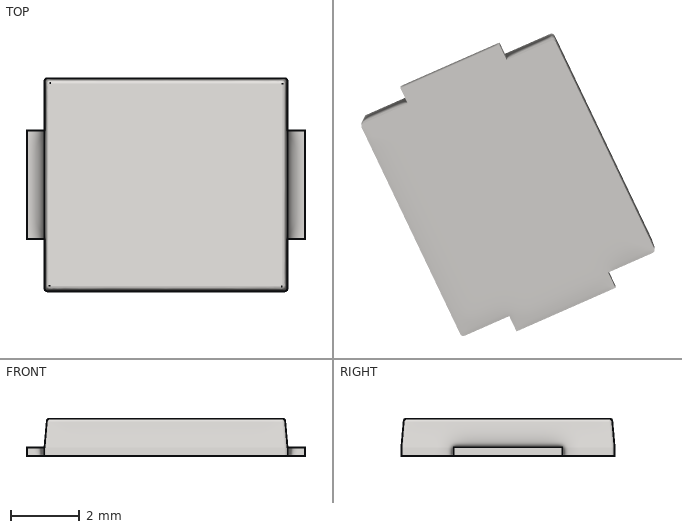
import cadquery as cq
import math

total_length = 8.15
housing_width = 6.25
housing_height = 1.1

lead_reach = 0.51
lead_width = 3.19
lead_thickness = 0.25

draft_angle = 5.0
edge_radius = 0.1

housing_length = total_length - 2 * lead_reach
drafted_height = housing_height - lead_thickness
draft_inset = drafted_height * math.tan(math.radians(draft_angle))


def make_housing():
    """Straight-walled base as high as the leads, drafted walls above it, rounded edges."""
    base = cq.Workplane("XY").rect(housing_length, housing_width).extrude(lead_thickness)
    cover = (
        cq.Workplane("XY")
        .workplane(offset=lead_thickness)
        .rect(housing_length, housing_width)
        .workplane(offset=drafted_height)
        .rect(housing_length - 2 * draft_inset, housing_width - 2 * draft_inset)
        .loft(ruled=True)
    )
    block = base.union(cover)
    upright_rounded = block.edges("not(#Z)").fillet(edge_radius)
    return upright_rounded.faces(">Z").edges().fillet(edge_radius).solids()


def make_lead(side):
    """Flat lead against the end wall of the housing; side is -1 or +1 along X."""
    center_x = side * (housing_length + lead_reach) / 2
    return (
        cq.Workplane("XY")
        .center(center_x, 0)
        .rect(lead_reach, lead_width)
        .extrude(lead_thickness)
    )


housing = make_housing()
leads = [make_lead(side) for side in (-1, 1)]

result = cq.Compound.makeCompound([housing.val(), *[lead.val() for lead in leads]])